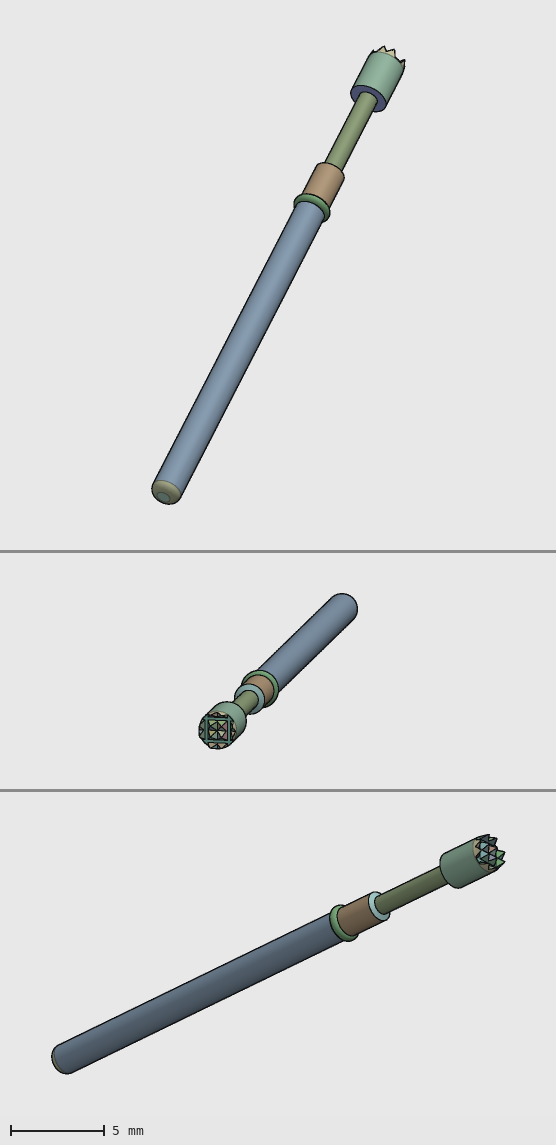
import cadquery as cq

length = 32.3

head_dia = 2.05
shaft_dia = 1.03
barrel_dia = 1.65
bead_dia = 2.05

head_length = 3.0
shoulder_start = 8.33
shoulder_end = 8.5
bead_center = 11.08

bead_width = 0.52
tail_fillet = 0.45

crown_height = 0.55
crown_tip_dia = 1.87
tooth_pitch = 0.6
middle_groove_depth = 0.4
side_groove_depth = 0.5
side_groove_floor = 0.15


def turned_body():
    """Revolve the half outline of the tail, barrel, bead, plunger shaft and head."""
    barrel_r = barrel_dia / 2
    shaft_r = shaft_dia / 2
    head_r = head_dia / 2
    bead_y = length - bead_center
    outline = (
        cq.Workplane("XY")
        .moveTo(0, 0)
        .lineTo(barrel_r, 0)
        .lineTo(barrel_r, bead_y - bead_width / 2)
        .threePointArc((bead_dia / 2, bead_y), (barrel_r, bead_y + bead_width / 2))
        .lineTo(barrel_r, length - shoulder_end)
        .lineTo(shaft_r, length - shoulder_start)
        .lineTo(shaft_r, length - head_length)
        .lineTo(head_r, length - head_length)
        .lineTo(head_r, length - crown_height)
        .lineTo(crown_tip_dia / 2, length)
        .lineTo(0, length)
        .close()
    )
    body = outline.revolve(360, (0, 0, 0), (0, 1, 0))
    return body.faces("<Y").edges().fillet(tail_fillet)


def crown_groove(x, half_outline):
    """A groove along Z at the given X, from the (offset, depth) points of one half of its outline."""
    right = [(x + offset, length - depth) for offset, depth in half_outline]
    left = [(x - offset, length - depth) for offset, depth in reversed(half_outline) if offset > 0]
    return cq.Workplane("XY").polyline(right + left).close().extrude(head_dia, both=True)


top_edge = (tooth_pitch / 2, 0)
middle_outline = [top_edge, (0, middle_groove_depth)]
side_outline = [top_edge, (side_groove_floor / 2, side_groove_depth)]

grooves = [
    crown_groove(-tooth_pitch, side_outline),
    crown_groove(0, middle_outline),
    crown_groove(tooth_pitch, side_outline),
]

result = turned_body()
for groove in grooves:
    crossing_groove = groove.rotate((0, 0, 0), (0, 1, 0), 90)
    result = result.cut(groove).cut(crossing_groove)